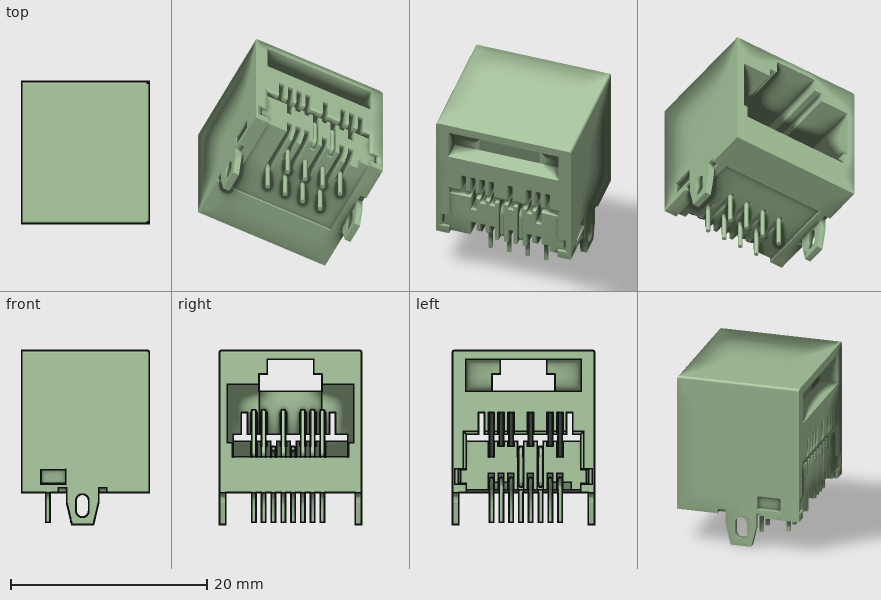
import cadquery as cq
import math


length = 13.0
width = 14.48
height = 14.48
edge_radius = 0.25
lip_start = 8.9
lip_top = 3.65

rear_wall = 1.97
web_front = 2.63
bay_half = 5.81
cavity_half = 6.42
lower_cavity_half = 5.95
ledge_z = 5.07
cavity_top = 11.02
latch_half = 3.2
latch_top = 12.06
latch_slot_half = 2.35
window_half = 5.9
window_bottom = 10.32
window_top = 13.55

bay_top = 5.92
bay_flare = 0.32
bay_flare_depth = 0.15

snap_half = 6.62
snap_channel_bottom = 0.86
snap_channel_top = 2.42
snap_flare = 0.36
snap_flare_depth = 0.17
snap_window_start = 1.97
snap_window_end = 4.49
snap_window_top = 2.35

tab_thickness = 0.65
tab_center_x = 6.21
tab_half = 1.64
tab_tip_half = 1.1
tab_taper_z = -1.0
tab_tip_z = -3.25
tab_hole_x = 6.18
tab_hole_width = 1.27
tab_hole_top = -0.17
tab_hole_bottom = -2.49
relief_width = 0.82
relief_height = 0.49

pitch = 0.997
comb_first_y = 4.28
comb_count = 10
formed_slots = (1, 2, 3, 5, 7, 8)
rear_row_slots = (2, 8)
wrapped_slots = (4, 6)
slot_width = 0.6
slot_top = 8.15

carrier_back = 0.25
carrier_bottom = 0.28
carrier_top = 5.24
deck_top = 3.48
ear_half = 6.4
ear_bottom = 0.93
ear_top = snap_window_top
snap_clearance = 0.03
top_notch_bottom = 4.73
deep_notch_bottom = lip_top
deep_notch_slots = (1, 8)
tail_notch_top = 1.98
groove_depth = 0.85
bevel_top = 1.06
bevel_depth = 0.78
bevel_outer_y = -4.85

wire_diameter = 0.46
contact_offset = -0.03
tail_end_z = -3.04
rear_row_x = 2.68
row_spacing = 2.54
front_row_x = rear_row_x + row_spacing
run_z = 1.32
front_row_bend = 0.52
rear_row_bend = 0.76
spring_turn_x = 7.6
spring_turn_radius = 0.6
spring_angle = math.radians(49)
spring_tip_x = 2.85
riser_x = 0.5
wrapped_run_z = 0.79
wrapped_lower_bend = 0.48
wrapped_top_z = 4.5
wrapped_upper_bend = 0.67
wrapped_tip_x = 7.0


def block(x0, x1, y0, y1, z0, z1):
    """Box between two opposite corners."""
    return cq.Workplane("XY").box(x1 - x0, y1 - y0, z1 - z0, centered=False).translate((x0, y0, z0))


def centered_block(x0, x1, half, z0, z1):
    """Box symmetric about the Y = 0 plane."""
    return block(x0, x1, -half, half, z0, z1)


def comb_y(slot):
    """Middle of a comb place along Y."""
    return comb_first_y - pitch * slot


def comb_block(slot, x0, x1, z0, z1):
    """Box one slot wide at a comb place."""
    y = comb_y(slot)
    return block(x0, x1, y - slot_width / 2, y + slot_width / 2, z0, z1)


def rear_flare(half, z0, z1, side_flare, top_flare, depth):
    """Entry that narrows from the rear face to the given opening."""
    outer = cq.Workplane("YZ").center(0, (z0 + z1 + top_flare) / 2)
    outer = outer.rect(2 * (half + side_flare), z1 + top_flare - z0)
    inner = outer.workplane(offset=depth).center(0, -top_flare / 2).rect(2 * half, z1 - z0)
    return inner.loft(ruled=True)


def make_tab(side):
    """Board tab on the -Y (side = -1) or +Y (side = 1) wall."""
    outline = [
        (tab_center_x - tab_half, relief_height),
        (tab_center_x - tab_half, tab_taper_z),
        (tab_center_x - tab_tip_half, tab_tip_z),
        (tab_center_x + tab_tip_half, tab_tip_z),
        (tab_center_x + tab_half, tab_taper_z),
        (tab_center_x + tab_half, relief_height),
    ]
    hole_z = (tab_hole_top + tab_hole_bottom) / 2
    tab = cq.Workplane("XZ").polyline(outline).close().extrude(tab_thickness)
    hole = cq.Workplane("XZ").center(tab_hole_x, hole_z)
    hole = hole.slot2D(tab_hole_top - tab_hole_bottom, tab_hole_width, 90).extrude(tab_thickness)
    inner_y = width / 2 - tab_thickness
    shift = -inner_y if side < 0 else width / 2
    return tab.cut(hole).translate((0, shift, 0))


def make_housing():
    """Shell open to +X for the plug, with a rear bay for the carrier and two board tabs."""
    body = centered_block(0, length, width / 2, 0, height)
    body = body.faces(">Z").edges("|X or >X").fillet(edge_radius)

    body = body.cut(centered_block(web_front, length, cavity_half, ledge_z, cavity_top))
    body = body.cut(centered_block(web_front, length, lower_cavity_half, lip_top, ledge_z))
    body = body.cut(centered_block(rear_wall, length, latch_half, bay_top, latch_top))
    body = body.cut(centered_block(rear_wall, length, latch_slot_half, bay_top, window_top))
    body = body.cut(centered_block(0, rear_wall, window_half, window_bottom, window_top))

    body = body.cut(centered_block(0, lip_start, bay_half, 0, bay_top))
    flare = rear_flare(bay_half, snap_channel_top, bay_top, bay_flare, bay_flare, bay_flare_depth)
    body = body.cut(flare)

    body = body.cut(
        centered_block(0, snap_window_end, snap_half, snap_channel_bottom, snap_channel_top)
    )
    body = body.cut(
        rear_flare(snap_half, snap_channel_bottom, snap_channel_top, snap_flare, 0, snap_flare_depth)
    )
    body = body.cut(
        centered_block(snap_window_start, snap_window_end, width / 2, snap_channel_bottom, snap_window_top)
    )

    for slot in range(comb_count):
        if slot not in wrapped_slots:
            body = body.cut(comb_block(slot, 0, web_front, bay_top - bay_flare, slot_top))

    relief_half = tab_half + relief_width
    for side in (-1, 1):
        y0 = -width / 2 if side < 0 else width / 2 - tab_thickness
        y1 = y0 + tab_thickness
        relief = block(tab_center_x - relief_half, tab_center_x + relief_half, y0, y1, 0, relief_height)
        body = body.cut(relief).union(make_tab(side))
    return body


def tail_row(slot):
    """Tail position along X and tail bend radius of a formed contact."""
    if slot in rear_row_slots:
        return rear_row_x, rear_row_bend
    return front_row_x, front_row_bend


def arc_middle_offset(radius):
    """Distance along X and along Z from either tangent line of a right-angle bend to its middle."""
    return radius * (1 - math.sqrt(0.5))


def sweep_wire(path, tail_x, slot):
    """Round wire along a path that starts at the tail's lower end."""
    wire = cq.Workplane("XY", origin=(tail_x, 0, tail_end_z)).circle(wire_diameter / 2).sweep(path)
    return wire.translate((0, comb_y(slot) + contact_offset, 0))


def make_formed_contact(slot):
    """Tail, run under the deck and spring rising toward the rear wall."""
    tail_x, bend = tail_row(slot)
    rest = arc_middle_offset(bend)
    turn_z = run_z + spring_turn_radius
    spring_x = spring_turn_x + spring_turn_radius * math.sin(spring_angle)
    spring_z = turn_z + spring_turn_radius * math.cos(spring_angle)
    tip_z = spring_z + (spring_x - spring_tip_x) * math.tan(spring_angle)
    path = (
        cq.Workplane("XZ")
        .moveTo(tail_x, tail_end_z)
        .lineTo(tail_x, run_z - bend)
        .threePointArc(
            (tail_x + rest, run_z - rest),
            (tail_x + bend, run_z),
        )
        .lineTo(spring_turn_x, run_z)
        .threePointArc((spring_turn_x + spring_turn_radius, turn_z), (spring_x, spring_z))
        .lineTo(spring_tip_x, tip_z)
    )
    return sweep_wire(path, tail_x, slot)


def make_wrapped_contact(slot):
    """Tail that rises behind the carrier and runs forward over its deck."""
    tail_x = rear_row_x
    low = wrapped_lower_bend
    high = wrapped_upper_bend
    low_rest = arc_middle_offset(low)
    high_rest = arc_middle_offset(high)
    path = (
        cq.Workplane("XZ")
        .moveTo(tail_x, tail_end_z)
        .lineTo(tail_x, wrapped_run_z - low)
        .threePointArc((tail_x - low_rest, wrapped_run_z - low_rest), (tail_x - low, wrapped_run_z))
        .lineTo(riser_x + low, wrapped_run_z)
        .threePointArc(
            (riser_x + low_rest, wrapped_run_z + low_rest), (riser_x, wrapped_run_z + low)
        )
        .lineTo(riser_x, wrapped_top_z - high)
        .threePointArc(
            (riser_x + high_rest, wrapped_top_z - high_rest), (riser_x + high, wrapped_top_z)
        )
        .lineTo(wrapped_tip_x, wrapped_top_z)
    )
    return sweep_wire(path, tail_x, slot)


def make_carrier(contacts):
    """Deck and rear plate that hold the contacts."""
    body = centered_block(carrier_back, rear_wall, bay_half, carrier_bottom, carrier_top)
    body = body.union(centered_block(carrier_back, lip_start, bay_half, carrier_bottom, deck_top))

    body = body.union(centered_block(carrier_back, snap_window_end, ear_half, ear_bottom, ear_top))
    snap_start = snap_window_start + snap_clearance
    body = body.union(centered_block(snap_start, snap_window_end, snap_half, ear_bottom, ear_top))

    bevel_spans = (
        (comb_y(3), comb_y(1)),
        (bevel_outer_y, comb_y(7)),
    )
    for y0, y1 in bevel_spans:
        profile = [
            (carrier_back, carrier_bottom),
            (carrier_back, bevel_top),
            (carrier_back + bevel_depth, carrier_bottom),
        ]
        bevel = cq.Workplane("XZ").polyline(profile).close().extrude(y1 - y0)
        body = body.cut(bevel.translate((0, y1, 0)))

    for slot in formed_slots:
        notch_bottom = deep_notch_bottom if slot in deep_notch_slots else top_notch_bottom
        body = body.cut(comb_block(slot, carrier_back, rear_wall, notch_bottom, carrier_top))
        tail_x, bend = tail_row(slot)
        body = body.cut(comb_block(slot, carrier_back, tail_x + bend, carrier_bottom, tail_notch_top))

    for slot in wrapped_slots:
        groove_end = carrier_back + groove_depth
        body = body.cut(comb_block(slot, carrier_back, groove_end, carrier_bottom, carrier_top))
        body = body.cut(comb_block(slot, carrier_back, rear_wall, deep_notch_bottom, carrier_top))

    for contact in contacts:
        body = body.cut(contact)
    return body


housing = make_housing()
formed_contacts = [make_formed_contact(slot) for slot in formed_slots]
wrapped_contacts = [make_wrapped_contact(slot) for slot in wrapped_slots]
contacts = formed_contacts + wrapped_contacts
carrier = make_carrier(contacts)

result = cq.Compound.makeCompound(
    [body.solids().val() for body in (housing, carrier, *contacts)]
)